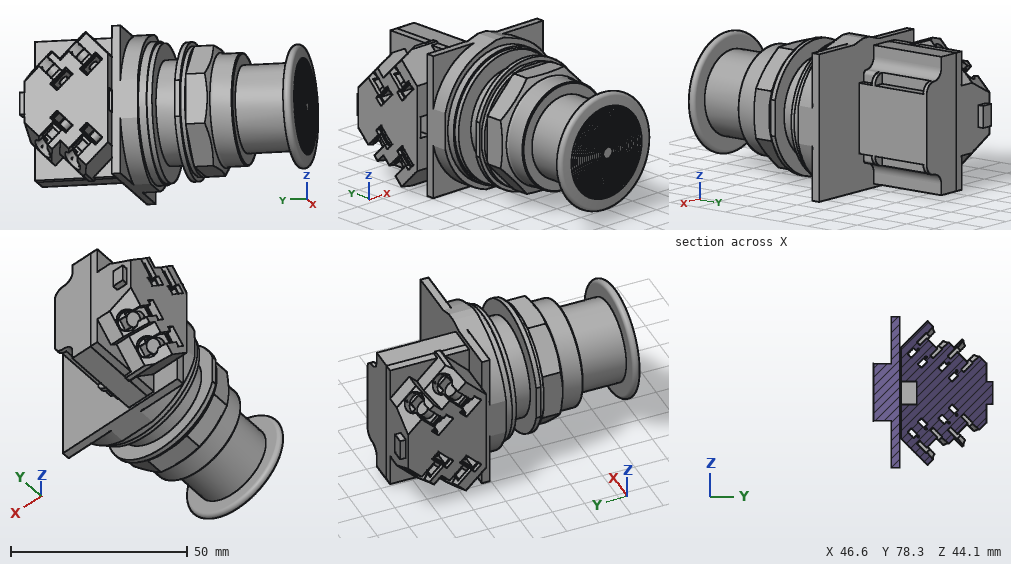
import cadquery as cq
import math

ROOT2 = math.sqrt(2)


PLATE_SIDE = 42.9
PLATE_FRONT_Y = -2.5
BEZEL_RADIUS = 22.15
BEZEL_FRONT_Y = -7.5
CREST_HEIGHT = 22.7
CREST_HALF_WIDTH = 1.5

GASKET_RADIUS = 20.5
GASKET_FRONT_Y = -9.9
GASKET_LIP_RADIUS = 20.0
GASKET_LIP_FRONT_Y = -11.35
NECK_RADIUS = 15.1
NECK_FRONT_Y = -17.85
WASHER_RADIUS = 19.9
WASHER_ACROSS_FLATS = 38.4
WASHER_FRONT_Y = -19.35
COLLAR_RADIUS = 18.6
COLLAR_ACROSS_FLATS = 36.8
COLLAR_FRONT_Y = -20.6

NUT_SIDES = 8
NUT_ACROSS_FLATS = 35.0
NUT_CORNER_RADIUS = NUT_ACROSS_FLATS / 2 / math.cos(math.pi / NUT_SIDES)
NUT_CHAMFER_Y = -26.15
NUT_FACE_Y = -27.4
NUT_FACE_RADIUS = 16.45
SLEEVE_RADIUS = 16.1
SLEEVE_START_Y = -28.2
SLEEVE_FRONT_Y = -33.9
SLEEVE_CHAMFER = 0.3

SHAFT_RADIUS = 12.6
HEAD_REAR_Y = -48.8
RIM_RADIUS = 1.2
RIM_CENTRE_RADIUS = 16.5
HEAD_FRONT_Y = -51.9
LENS_RADIUS = 13.8
LENS_EYE_RADIUS = 1.7
LENS_RING_COUNT = 16
LENS_GROOVE_DEPTH = 0.3

BLOCK_LENGTH = 24.6
BLOCK_HEIGHT = 40.25
BLOCK_CENTRE_Z = -0.2
JOINT_X = -10.1

MOUNT_BODY_X = -3.3
MOUNT_WALL = 3.3
MOUNT_CURVE_RADIUS = 3.3
MOUNT_CURVE_TOP_Z = BLOCK_HEIGHT / 2 - MOUNT_WALL
MOUNT_LEDGE_Z = MOUNT_CURVE_TOP_Z - MOUNT_CURVE_RADIUS
MOUNT_SIDE_Z = MOUNT_LEDGE_Z - MOUNT_CURVE_RADIUS
MOUNT_SMALL_NOSE = 1.25
MOUNT_RIB = 1.25
MOUNT_FRONT_RIB_Y = 4.55

CONTACT_SIDE_X = -25.2
WEB_X = -12.6
TIP_Z = 20.6
CONTACT_FRONT_Y = 0.2
STUD_LENGTH = 1.8
STUD_X = (-23.7, -20.1)
STUD_Z = (-3.2, 3.2)
SOCKET_DEPTH = 4.7

UPPER_FACE_U = 24.6
STAIR_V = -1.7
STAIR_RISE = 3.4
FRONT_FACET_V = 8.9
TAPER_RISE = 3.0
TAPER_END_X = -17.3
TERMINAL_V = -5.4
TERMINAL_PITCH_V = 8.9
SCREW_X = -20.3
BORE_RADIUS = 3.1
BORE_DEPTH = 3.0
CAVITY_FLOOR_X = -17.2
CAVITY_CEILING_U = 20.7
CAVITY_WIDTH = 6.4
FRONT_WALL = 1.3
SLOT_WIDTH = 3.5
SLOT_TOP_U = 23.3
WINDOW_U = (12.8, 15.6)
WINDOW_LEDGE = 0.5
SCREW_HEAD_RADIUS = 2.2
SCREW_SHANK_RADIUS = 1.4
SCREW_TOP_U = 19.7
CLAMP_U = (16.0, 17.0)

TERMINAL_PLANE = cq.Plane(origin=(0, 0, 0), xDir=(0, 1, 1), normal=(1, 0, 0))


def box(x, y, z):
    """Box between the two limits given for each axis."""
    size = (x[1] - x[0], y[1] - y[0], z[1] - z[0])
    return cq.Workplane("XY").box(*size, centered=False).translate((x[0], y[0], z[0]))


def turned_ring(radius, rear_y, front_y):
    """Solid cylinder on the operator axis."""
    return cq.Workplane("XZ", origin=(0, rear_y, 0)).circle(radius).extrude(rear_y - front_y)


def make_plate_and_bezel():
    half = PLATE_SIDE / 2
    plate = box((-half, half), (PLATE_FRONT_Y, 0), (-half, half))
    bezel = turned_ring(BEZEL_RADIUS, 0, BEZEL_FRONT_Y)
    bezel = bezel.intersect(box((-half, half), (BEZEL_FRONT_Y, 0), (-half, BEZEL_RADIUS)))
    crest_corner_distance = math.hypot(CREST_HALF_WIDTH, CREST_HEIGHT)
    foot_angle = math.atan2(CREST_HALF_WIDTH, CREST_HEIGHT) + math.acos(BEZEL_RADIUS / crest_corner_distance)
    foot_x = BEZEL_RADIUS * math.sin(foot_angle)
    foot_z = BEZEL_RADIUS * math.cos(foot_angle)
    crest = (
        cq.Workplane("XZ")
        .polyline(
            [
                (-foot_x, 0),
                (-foot_x, foot_z),
                (-CREST_HALF_WIDTH, CREST_HEIGHT),
                (CREST_HALF_WIDTH, CREST_HEIGHT),
                (foot_x, foot_z),
                (foot_x, 0),
            ]
        )
        .close()
        .extrude(-BEZEL_FRONT_Y)
    )
    return plate.union(bezel).union(crest)


def make_rings():
    rings = turned_ring(GASKET_RADIUS, BEZEL_FRONT_Y, GASKET_FRONT_Y)
    rings = rings.union(turned_ring(GASKET_LIP_RADIUS, GASKET_FRONT_Y, GASKET_LIP_FRONT_Y))
    rings = rings.union(turned_ring(NECK_RADIUS, GASKET_LIP_FRONT_Y, NECK_FRONT_Y))

    washer_x = WASHER_ACROSS_FLATS / 2
    washer = turned_ring(WASHER_RADIUS, NECK_FRONT_Y, WASHER_FRONT_Y).intersect(
        box((-washer_x, washer_x), (WASHER_FRONT_Y, NECK_FRONT_Y), (-WASHER_RADIUS, WASHER_RADIUS))
    )
    flat = COLLAR_ACROSS_FLATS / 2
    collar = turned_ring(COLLAR_RADIUS, WASHER_FRONT_Y, COLLAR_FRONT_Y).intersect(
        box((-flat, flat), (COLLAR_FRONT_Y, WASHER_FRONT_Y), (-flat, flat))
    )
    return rings.union(washer).union(collar)


def make_nut_and_sleeve():
    prism = (
        cq.Workplane("XZ", origin=(0, COLLAR_FRONT_Y, 0))
        .polygon(NUT_SIDES, 2 * NUT_CORNER_RADIUS)
        .extrude(COLLAR_FRONT_Y - SLEEVE_START_Y)
        .rotate((0, 0, 0), (0, 1, 0), 180 / NUT_SIDES)
    )
    band_radius = (NUT_FACE_RADIUS + SLEEVE_RADIUS) / 2 - (NUT_FACE_RADIUS - SLEEVE_RADIUS) / 4
    band_y = (NUT_FACE_Y + SLEEVE_START_Y) / 2
    envelope = (
        cq.Workplane("XY")
        .moveTo(0, COLLAR_FRONT_Y)
        .lineTo(NUT_CORNER_RADIUS, COLLAR_FRONT_Y)
        .lineTo(NUT_CORNER_RADIUS, NUT_CHAMFER_Y)
        .lineTo(NUT_FACE_RADIUS, NUT_FACE_Y)
        .threePointArc((band_radius, band_y), (SLEEVE_RADIUS, SLEEVE_START_Y))
        .lineTo(0, SLEEVE_START_Y)
        .close()
        .revolve(360, (0, 0), (0, 1))
    )
    sleeve = turned_ring(SLEEVE_RADIUS, SLEEVE_START_Y, SLEEVE_FRONT_Y)
    sleeve = sleeve.faces("<Y").chamfer(SLEEVE_CHAMFER)
    return prism.intersect(envelope).union(sleeve)


def make_button():
    rim_y = HEAD_REAR_Y - RIM_RADIUS
    rim_front_y = HEAD_REAR_Y - 2 * RIM_RADIUS
    dome_rise = rim_front_y - HEAD_FRONT_Y

    def dome_y(radius):
        """Y of the shallow front dome at a radius."""
        return HEAD_FRONT_Y + dome_rise * (radius / RIM_CENTRE_RADIUS) ** 2

    dome_mid_radius = (RIM_CENTRE_RADIUS + LENS_RADIUS) / 2
    profile = (
        cq.Workplane("XY")
        .moveTo(0, SLEEVE_FRONT_Y)
        .lineTo(SHAFT_RADIUS, SLEEVE_FRONT_Y)
        .lineTo(SHAFT_RADIUS, HEAD_REAR_Y)
        .lineTo(RIM_CENTRE_RADIUS, HEAD_REAR_Y)
        .threePointArc((RIM_CENTRE_RADIUS + RIM_RADIUS, rim_y), (RIM_CENTRE_RADIUS, rim_front_y))
        .threePointArc((dome_mid_radius, dome_y(dome_mid_radius)), (LENS_RADIUS, dome_y(LENS_RADIUS)))
    )
    pitch = (LENS_RADIUS - LENS_EYE_RADIUS) / LENS_RING_COUNT
    for ring in range(LENS_RING_COUNT):
        crest = LENS_RADIUS - (ring + 1) * pitch
        valley = crest + pitch / 2
        profile = profile.lineTo(valley, dome_y(valley) + LENS_GROOVE_DEPTH).lineTo(crest, dome_y(crest))
    return (
        profile.lineTo(0, dome_y(LENS_EYE_RADIUS))
        .close()
        .revolve(360, (0, 0), (0, 1))
    )


def make_operator():
    operator = make_plate_and_bezel().union(make_rings())
    return operator.union(make_nut_and_sleeve()).union(make_button())


def make_mount_core():
    """Full-length part of the mounting block, with a hollow curve and a lower side ledge."""
    side_x = MOUNT_BODY_X + 2 * MOUNT_CURVE_RADIUS
    bend = MOUNT_CURVE_RADIUS / ROOT2
    half = (
        cq.Workplane("XZ", origin=(0, BLOCK_LENGTH, 0))
        .moveTo(JOINT_X, 0)
        .lineTo(JOINT_X, BLOCK_HEIGHT / 2)
        .lineTo(MOUNT_BODY_X, BLOCK_HEIGHT / 2)
        .lineTo(MOUNT_BODY_X, MOUNT_CURVE_TOP_Z)
        .threePointArc((-bend, MOUNT_CURVE_TOP_Z - bend), (0, MOUNT_LEDGE_Z))
        .lineTo(0, MOUNT_SIDE_Z)
        .lineTo(side_x, MOUNT_SIDE_Z)
        .lineTo(side_x, 0)
        .close()
        .extrude(BLOCK_LENGTH)
    )
    return half.union(half.mirror("XY"))


def make_mount_lug(radius, front_y, rear_y):
    """Lug on the side ledge whose outer corners, above and below, are rounded."""
    bend = radius / ROOT2
    half = (
        cq.Workplane("XZ", origin=(0, rear_y, 0))
        .lineTo(0, MOUNT_LEDGE_Z)
        .threePointArc((bend, MOUNT_LEDGE_Z - radius + bend), (radius, MOUNT_LEDGE_Z - radius))
        .lineTo(radius, 0)
        .close()
        .extrude(rear_y - front_y)
    )
    return half.union(half.mirror("XY"))


def make_mounting_block():
    block = make_mount_core()
    block = block.union(make_mount_lug(MOUNT_SMALL_NOSE, 0, MOUNT_FRONT_RIB_Y))
    for rib_y in (MOUNT_FRONT_RIB_Y, BLOCK_LENGTH - MOUNT_RIB):
        block = block.union(make_mount_lug(MOUNT_CURVE_RADIUS, rib_y, rib_y + MOUNT_RIB))
    return block.translate((0, 0, BLOCK_CENTRE_Z))


def terminal_box(x, u, v):
    """Box between limits along X, u and v."""
    return (
        cq.Workplane(TERMINAL_PLANE)
        .box(u[1] - u[0], v[1] - v[0], x[1] - x[0], centered=False)
        .translate(TERMINAL_PLANE.toWorldCoords((u[0], v[0], x[0])))
    )


def along_u(radius, u):
    """Cylinder on the screw axis between two u limits."""
    start = TERMINAL_PLANE.toWorldCoords((u[0], TERMINAL_V, SCREW_X))
    return cq.Workplane(cq.Solid.makeCylinder(radius, u[1] - u[0], start, TERMINAL_PLANE.xDir))


def shifted(shape, du, dv):
    return shape.translate(TERMINAL_PLANE.toWorldCoords((du, dv, 0)))


def make_face_taper(v_limits):
    """Wedge that slopes the rear terminal face back towards the open side."""
    root_u = UPPER_FACE_U - TAPER_RISE
    wedge_plane = cq.Plane(
        origin=TERMINAL_PLANE.toWorldCoords((0, v_limits[0], 0)),
        xDir=(1, 0, 0),
        normal=(0, -1, 1),
    )
    return (
        cq.Workplane(wedge_plane)
        .polyline([(CONTACT_SIDE_X, root_u), (TAPER_END_X, UPPER_FACE_U), (CONTACT_SIDE_X, UPPER_FACE_U)])
        .close()
        .extrude(v_limits[1] - v_limits[0])
    )


def make_bore():
    """Blind bore square to the tapered face, above the screw head."""
    taper_run = TAPER_END_X - CONTACT_SIDE_X
    face_u = UPPER_FACE_U - TAPER_RISE * (TAPER_END_X - SCREW_X) / taper_run
    face_point = TERMINAL_PLANE.toWorldCoords((face_u, TERMINAL_V, SCREW_X))
    outward = TERMINAL_PLANE.toWorldCoords((taper_run, 0, -TAPER_RISE)).normalized()
    bottom = face_point - outward * BORE_DEPTH
    return cq.Workplane(cq.Solid.makeCylinder(BORE_RADIUS, 2 * BORE_DEPTH, bottom, outward))


def make_terminal_pocket():
    """Bore, slot, window and inner cavity around one screw, less the screw and its clamp."""

    def v_span(width):
        return (TERMINAL_V - width / 2, TERMINAL_V + width / 2)

    cavity_v = v_span(CAVITY_WIDTH)
    window_inner_v = v_span(CAVITY_WIDTH - 2 * WINDOW_LEDGE)
    window_inner_u = (WINDOW_U[0], WINDOW_U[1] - WINDOW_LEDGE)
    wall_back_x = CONTACT_SIDE_X + FRONT_WALL
    open_x = (CONTACT_SIDE_X, CAVITY_FLOOR_X)
    wall_x = (CONTACT_SIDE_X, wall_back_x)
    inner_x = (wall_back_x, CAVITY_FLOOR_X)

    pocket = terminal_box(open_x, (WINDOW_U[1], SLOT_TOP_U), v_span(SLOT_WIDTH))
    pocket = pocket.union(terminal_box(wall_x, WINDOW_U, cavity_v))
    pocket = pocket.union(terminal_box(inner_x, window_inner_u, window_inner_v))
    pocket = pocket.union(terminal_box(inner_x, (CLAMP_U[0], CAVITY_CEILING_U), cavity_v))
    pocket = pocket.union(make_bore())

    shank = along_u(SCREW_SHANK_RADIUS, (WINDOW_U[0], CLAMP_U[1]))
    head = along_u(SCREW_HEAD_RADIUS, (CLAMP_U[1], SCREW_TOP_U))
    clamp = terminal_box(inner_x, CLAMP_U, cavity_v)
    return pocket.cut(shank).cut(head).cut(clamp)


def make_terminal_blank():
    """Upper half of the stepped terminal body, before its faces are tapered."""
    lower_face_u = UPPER_FACE_U - STAIR_RISE
    stair_top = TERMINAL_PLANE.toWorldCoords((UPPER_FACE_U, STAIR_V, 0))
    stair_foot = TERMINAL_PLANE.toWorldCoords((lower_face_u, STAIR_V, 0))
    return (
        cq.Workplane("YZ", origin=(CONTACT_SIDE_X, 0, 0))
        .polyline(
            [
                (CONTACT_FRONT_Y, 0),
                (BLOCK_LENGTH, 0),
                (BLOCK_LENGTH, UPPER_FACE_U * ROOT2 - BLOCK_LENGTH),
                (stair_top.y, stair_top.z),
                (stair_foot.y, stair_foot.z),
                (lower_face_u * ROOT2 - TIP_Z, TIP_Z),
                (TIP_Z - FRONT_FACET_V * ROOT2, TIP_Z),
                (CONTACT_FRONT_Y, FRONT_FACET_V * ROOT2 + CONTACT_FRONT_Y),
            ]
        )
        .close()
        .extrude(JOINT_X - CONTACT_SIDE_X)
    )


def make_contact_block():
    half = make_terminal_blank()
    rear_face_v = (STAIR_V - BLOCK_LENGTH, STAIR_V)
    front_face_v = (STAIR_V, STAIR_V + BLOCK_LENGTH)
    half = half.cut(make_face_taper(rear_face_v))
    half = half.cut(shifted(make_face_taper(front_face_v), -STAIR_RISE, 0))
    for terminal in range(2):
        half = half.cut(
            shifted(make_terminal_pocket(), -terminal * STAIR_RISE, terminal * TERMINAL_PITCH_V)
        )
    block = half.union(half.mirror("XY"))

    web = box((WEB_X, JOINT_X), (0, BLOCK_LENGTH), (-BLOCK_HEIGHT / 2, BLOCK_HEIGHT / 2))
    stud = box(STUD_X, (BLOCK_LENGTH, BLOCK_LENGTH + STUD_LENGTH), STUD_Z)
    socket = box(STUD_X, (0, SOCKET_DEPTH), STUD_Z)
    block = block.union(web).union(stud).cut(socket)
    return block.translate((0, 0, BLOCK_CENTRE_Z))


operator = make_operator()
mounting_block = make_mounting_block()
contact_block = make_contact_block()

result = cq.Compound.makeCompound([operator.val(), mounting_block.val(), contact_block.val()])